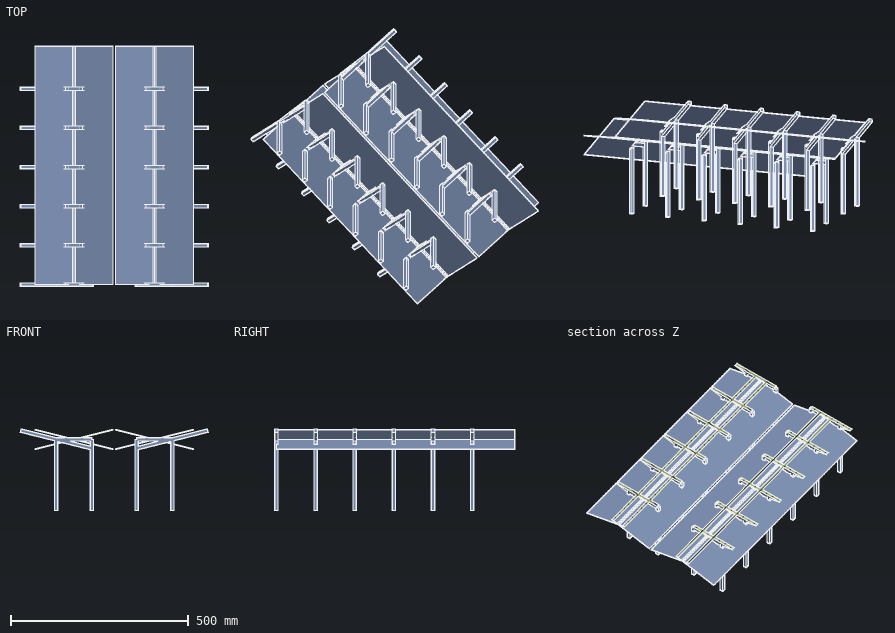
import cadquery as cq
import math

bar = 10.0
post_spacing = 100.0
beam_level = 200.0
frame_count = 6
frame_pitch = 110.0

slope_rise = 25.0
slope_angle = math.degrees(math.atan2(slope_rise, post_spacing))
rafter_length = 2 * math.hypot(post_spacing, slope_rise)

panel_half_run = 110.0
panel_thickness = 2.0
panel_depth = 670.0
panel_length = 2 * panel_half_run / math.cos(math.radians(slope_angle))

overall_width = 528.58
rafter_corner_overhang = bar / 2 * math.sin(math.radians(slope_angle))
outer_post_x = -(overall_width / 2 - rafter_corner_overhang - post_spacing)
inner_post_x = outer_post_x + post_spacing
ridge_x = (outer_post_x + inner_post_x) / 2


def tilted_bar(length, depth, thickness, center, angle):
    """Box with its length along X, turned about the Y direction; a positive angle drops the +X end."""
    return (
        cq.Workplane("XY")
        .box(length, depth, thickness)
        .rotate((0, 0, 0), (0, 1, 0), angle)
        .translate(center)
    )


def make_post(x, y):
    return cq.Workplane("XY").box(bar, bar, beam_level, centered=(True, True, False)).translate((x, y, 0))


def make_frame(y):
    """Two posts, the level beam across their tops and the rafter that runs out past the outer post."""
    beam = tilted_bar(post_spacing, bar, bar, (ridge_x, y, beam_level), 0)
    rafter = tilted_bar(rafter_length, bar, bar, (outer_post_x, y, beam_level), slope_angle)
    return make_post(outer_post_x, y).union(make_post(inner_post_x, y)).union(beam).union(rafter)


def make_panels():
    """Two thin panels that cross at the ridge line."""
    center = (ridge_x, panel_depth / 2, beam_level)
    falling = tilted_bar(panel_length, panel_depth, panel_thickness, center, slope_angle)
    rising = tilted_bar(panel_length, panel_depth, panel_thickness, center, -slope_angle)
    return falling.union(rising)


def make_canopy():
    canopy = make_panels()
    for i in range(frame_count):
        canopy = canopy.union(make_frame(i * frame_pitch))
    return canopy


left_canopy = make_canopy()
right_canopy = left_canopy.mirror("YZ")

result = cq.Compound.makeCompound([left_canopy.val(), right_canopy.val()])